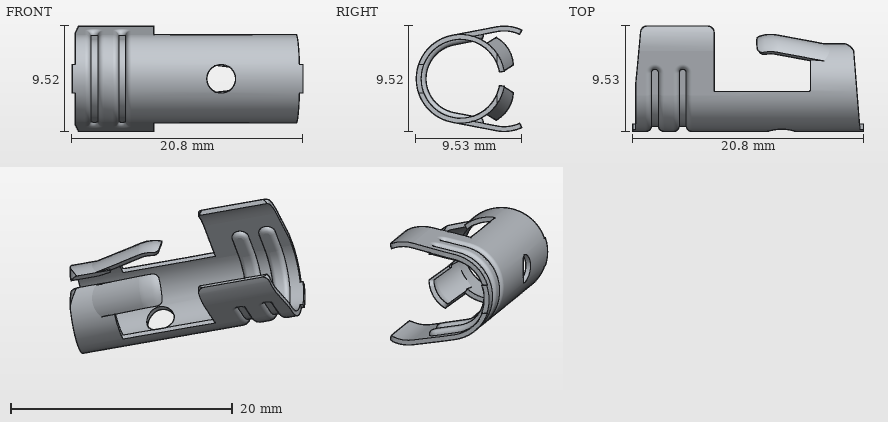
import cadquery as cq
import math

overall_length = 20.83
sheet = 0.45
outer_radius = 4.0
inner_radius = outer_radius - sheet

clip_end_x = 7.37
clip_section_end_x = 7.86
wall_flare = 10.85
lip_start_y = 3.25
lip_radius = 3.65
lip_end_y = 5.53
wing_corner_radius = 0.6

barrel_start_x = 9.87
collar_start_x = 16.03
gap_half_angle = 9.6
window_floor_y = -0.36
window_corner_radius = 0.1

tab_half_width = 1.29
left_edge_x = 0.27
left_slant_start_y = 0.2
left_slant_top_x = 0.77
right_edge_bottom_x = 20.53
collar_corner_end = (19.95, 3.29)
collar_corner_middle = (19.57, 3.72)
collar_corner_start = (18.9, 4.0)

bead_positions = (2.02, 4.53)
bead_half_width = 0.82
bead_floor_half_width = 0.31
bead_depth = 0.45
bead_end_y = 1.23

hole_x = 13.45
hole_diameter = 2.57

arm_direction = 32.0
arm_radius = 3.0
arm_half_angle = 29.4
arm_root_x = 17.8
arm_bend_x = 13.1
arm_tip_x = 11.18
arm_slope = 12.4
arm_curl_radius = 3.0
arm_tip_corner_radius = 0.6
relief_overreach = 10.0

flare = math.radians(wall_flare)
flare_sin = math.sin(flare)
flare_cos = math.cos(flare)
wall_start_y = -outer_radius * flare_sin
wall_start_z = outer_radius * flare_cos
part_reach = 3 * outer_radius


def polar(radius, degrees):
    """Point in the YZ section, angle measured from +Y towards +Z."""
    angle = math.radians(degrees)
    return (radius * math.cos(angle), radius * math.sin(angle))


def mirrored_pair(solid):
    """A solid together with its mirror image across the XY plane."""
    return solid.union(solid.mirror("XY"))


def section_plane(x):
    """Cross-section plane at x with local axes along +Y and +Z."""
    return cq.Workplane(cq.Plane(origin=(x, 0, 0), xDir=(0, 1, 0), normal=(1, 0, 0)))


def clip_half_wall():
    """Upper flared wall with its curled lip, as a closed section."""
    wall_rise = (lip_start_y - wall_start_y) * math.tan(flare)
    lip_start = (lip_start_y, wall_start_z + wall_rise)
    lip_center = (lip_start[0] + lip_radius * flare_sin, lip_start[1] - lip_radius * flare_cos)
    start_angle = 90 + wall_flare
    end_angle = math.degrees(math.acos((lip_end_y - lip_center[0]) / lip_radius))
    middle_angle = (start_angle + end_angle) / 2

    def lip_point(radius, angle):
        y, z = polar(radius, angle)
        return (lip_center[0] + y, lip_center[1] + z)

    lip_inner = lip_radius - sheet
    return (
        section_plane(0)
        .moveTo(*polar(outer_radius, start_angle))
        .lineTo(*lip_start)
        .threePointArc(lip_point(lip_radius, middle_angle), lip_point(lip_radius, end_angle))
        .lineTo(*lip_point(lip_inner, end_angle))
        .threePointArc(lip_point(lip_inner, middle_angle), lip_point(lip_inner, start_angle))
        .lineTo(*polar(inner_radius, start_angle))
        .close()
        .extrude(clip_section_end_x)
    )


def ring_sector(x, length, start_angle):
    """Annular sector around the back, open by start_angle on each side of +Y."""
    return (
        section_plane(x)
        .moveTo(*polar(outer_radius, start_angle))
        .threePointArc((-outer_radius, 0), polar(outer_radius, -start_angle))
        .lineTo(*polar(inner_radius, -start_angle))
        .threePointArc((-inner_radius, 0), polar(inner_radius, start_angle))
        .close()
        .extrude(length)
    )


def clip():
    back = ring_sector(0, clip_section_end_x, 90 + wall_flare)
    section = back.union(mirrored_pair(clip_half_wall()))
    plan = (
        cq.Workplane("XY")
        .moveTo(0, -outer_radius)
        .lineTo(0, window_floor_y)
        .lineTo(left_edge_x, left_slant_start_y)
        .lineTo(left_slant_top_x, lip_end_y)
        .lineTo(clip_end_x, lip_end_y)
        .lineTo(clip_end_x, window_floor_y)
        .lineTo(clip_section_end_x, window_floor_y)
        .lineTo(clip_section_end_x, -outer_radius)
        .close()
        .extrude(part_reach, both=True)
        .edges("|Z and >Y")
        .fillet(wing_corner_radius)
    )
    return section.intersect(plan)


def blend_half():
    """Upper wall edge blending from the flat clip wall into the round barrel."""
    start_angle = 90 + wall_flare
    middle_angle = 90 + wall_flare / 2
    wall_edge = wall_start_z - wall_start_y * math.tan(flare)
    return (
        section_plane(clip_section_end_x)
        .moveTo(*polar(outer_radius, start_angle))
        .lineTo(0, wall_edge)
        .lineTo(0, wall_edge - sheet / flare_cos)
        .lineTo(*polar(inner_radius, start_angle))
        .close()
        .workplane(offset=barrel_start_x - clip_section_end_x)
        .moveTo(*polar(outer_radius, start_angle))
        .threePointArc(polar(outer_radius, middle_angle), (0, outer_radius))
        .lineTo(0, inner_radius)
        .threePointArc(polar(inner_radius, middle_angle), polar(inner_radius, start_angle))
        .close()
        .loft(ruled=True)
    )


def blend():
    back = ring_sector(clip_section_end_x, barrel_start_x - clip_section_end_x, 90 + wall_flare)
    return back.union(mirrored_pair(blend_half()))


def window():
    """Open top between the clip wings and the collar."""
    length = collar_start_x - clip_end_x
    return (
        cq.Workplane("XY")
        .box(length, part_reach, part_reach, centered=(False, False, True))
        .edges("|Z and <Y")
        .fillet(window_corner_radius)
        .translate((clip_end_x, window_floor_y, 0))
    )


def end_trim(outline):
    """Prism that trims one end of the sheet but spares its locating tab."""
    prism = outline.close().extrude(part_reach, both=True)
    tab = cq.Workplane("XY").box(3 * overall_length, outer_radius, 2 * tab_half_width)
    return prism.cut(tab.translate((0, -outer_radius, 0)))


def left_trim():
    outside_x = -sheet
    return end_trim(
        cq.Workplane("XY")
        .moveTo(outside_x, -part_reach)
        .lineTo(left_edge_x, -part_reach)
        .lineTo(left_edge_x, left_slant_start_y)
        .lineTo(outside_x, left_slant_start_y)
    )


def right_trim():
    outside_x = overall_length + sheet
    return end_trim(
        cq.Workplane("XY")
        .moveTo(outside_x, -outer_radius)
        .lineTo(right_edge_bottom_x, -outer_radius)
        .lineTo(*collar_corner_end)
        .threePointArc(collar_corner_middle, collar_corner_start)
        .lineTo(outside_x, collar_corner_start[1])
    )


def barrel():
    tube = ring_sector(barrel_start_x, overall_length - barrel_start_x, gap_half_angle)
    hole = (
        cq.Workplane("XZ", origin=(hole_x, 0, 0))
        .circle(hole_diameter / 2)
        .extrude(part_reach)
    )
    return tube.cut(right_trim()).cut(hole)


def groove_outline(plane):
    """Right half of the outer groove; local y is depth below the outer surface.

    A convex shoulder rolls off the outer surface and drops to a flat floor.
    """
    shoulder_radius = bead_half_width - bead_floor_half_width

    def shoulder_point(depth):
        rise = shoulder_radius - depth
        return (bead_half_width - math.sqrt(shoulder_radius**2 - rise**2), depth)

    return (
        cq.Workplane(plane)
        .moveTo(0, -sheet)
        .lineTo(bead_half_width, -sheet)
        .lineTo(bead_half_width, 0)
        .threePointArc(shoulder_point(bead_depth / 3), shoulder_point(bead_depth))
        .lineTo(0, bead_depth)
        .close()
    )


def ridge_outline(plane):
    """Right half of the inner ridge, rounded concentric with the groove floor corner."""
    crest_depth = bead_depth + sheet
    base_x = bead_floor_half_width + sheet
    arc_offset = sheet * math.sqrt(0.5)
    return (
        cq.Workplane(plane)
        .moveTo(0, sheet / 2)
        .lineTo(base_x, sheet / 2)
        .lineTo(base_x, bead_depth)
        .threePointArc(
            (bead_floor_half_width + arc_offset, bead_depth + arc_offset),
            (bead_floor_half_width, crest_depth),
        )
        .lineTo(0, crest_depth)
        .close()
    )


def bead_solid(x, half_outline):
    """Half outline carried around the back and along both walls, with domed ends."""
    wall_direction = cq.Vector(0, flare_cos, flare_sin)
    start = cq.Vector(x, wall_start_y, wall_start_z)
    run = (bead_end_y - wall_start_y) / flare_cos
    start_plane = cq.Plane(origin=start, xDir=(1, 0, 0), normal=wall_direction)
    end_plane = cq.Plane(origin=start + wall_direction * run, xDir=(1, 0, 0), normal=wall_direction)

    back_angle = 180 - 2 * wall_flare
    back = half_outline(start_plane).revolve(back_angle, (0, outer_radius), (1, outer_radius))
    straight = half_outline(start_plane).extrude(run)
    right_half = back.union(mirrored_pair(straight))
    left_half = right_half.mirror("YZ", (x, 0, 0))
    dome = half_outline(end_plane).revolve(360, (0, 0), (0, 1))
    return right_half.union(left_half).union(mirrored_pair(dome))


def arm_strip(strip_outer, seam_side_angle):
    """Curved strip, one sheet thick, that rises from the collar and curls at its tip.

    strip_outer is the radius of its outer face across the width; the arm itself uses arm_radius.
    seam_side_angle is how far the strip reaches from its middle towards the seam.
    """
    lift = cq.Vector(0, *polar(1, arm_direction))
    slope = math.radians(arm_slope)

    def path_point(x, height):
        return cq.Vector(x, 0, 0) + lift * (outer_radius + height)

    bend_height = (arm_root_x - arm_bend_x) * math.tan(slope)
    curl_center_x = arm_bend_x - arm_curl_radius * math.sin(slope)
    curl_center_height = bend_height - arm_curl_radius * math.cos(slope)
    tip_angle = math.asin((curl_center_x - arm_tip_x) / arm_curl_radius)

    def curl_point(angle):
        return path_point(
            curl_center_x - arm_curl_radius * math.sin(angle),
            curl_center_height + arm_curl_radius * math.cos(angle),
        )

    root = path_point(arm_root_x, 0)
    bend = path_point(arm_bend_x, bend_height)
    straight = cq.Edge.makeLine(root, bend)
    curl = cq.Edge.makeThreePointArc(bend, curl_point((tip_angle - slope) / 2), curl_point(tip_angle))
    path = cq.Workplane(cq.Wire.assembleEdges([straight, curl]))

    travel = (bend - root).normalized()
    across = lift.cross(travel).normalized()
    root_plane = cq.Plane(origin=root, xDir=across, normal=travel)

    def strip_point(radius, degrees):
        angle = math.radians(degrees)
        return (radius * math.sin(angle), radius * math.cos(angle) - arm_radius)

    strip_inner = strip_outer - sheet
    return (
        cq.Workplane(root_plane)
        .moveTo(*strip_point(strip_outer, -seam_side_angle))
        .threePointArc(strip_point(strip_outer, 0), strip_point(strip_outer, arm_half_angle))
        .lineTo(*strip_point(strip_inner, arm_half_angle))
        .threePointArc(strip_point(strip_inner, 0), strip_point(strip_inner, -seam_side_angle))
        .close()
        .sweep(path)
    )


def arm():
    """Upper latch arm with rounded tip corners, kept clear of the collar bore."""
    strip = arm_strip(arm_radius, arm_half_angle).faces("<X").edges("%LINE").fillet(arm_tip_corner_radius)
    bore = section_plane(collar_start_x).circle(inner_radius).extrude(overall_length)
    return strip.cut(bore)


def arm_relief():
    """Space under the upper arm, open to the seam, so the collar wall bends up into the arm."""
    return arm_strip(arm_radius - sheet, arm_half_angle + relief_overreach)


body = clip().cut(left_trim())
for bead_x in bead_positions:
    body = body.union(bead_solid(bead_x, ridge_outline))
    body = body.cut(bead_solid(bead_x, groove_outline))

shell = blend().union(barrel()).cut(window()).cut(mirrored_pair(arm_relief()))
result = body.union(shell).union(mirrored_pair(arm()))